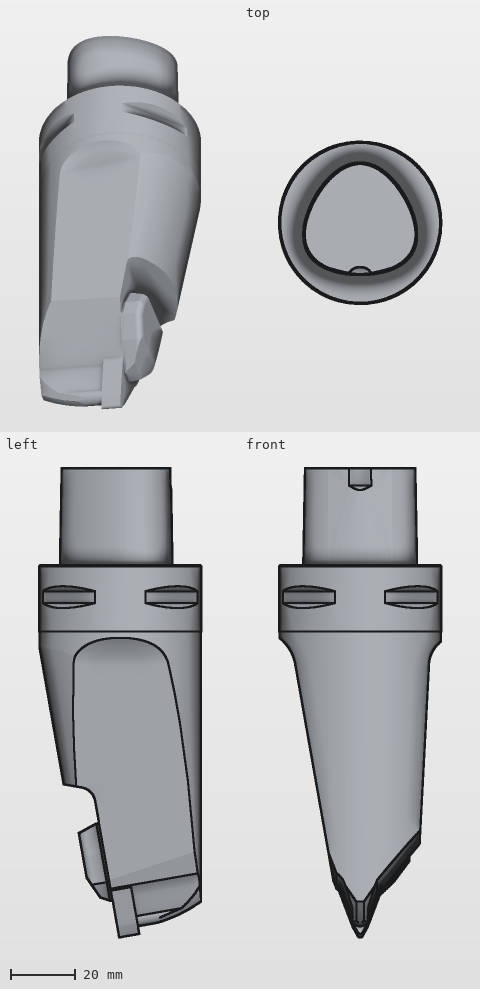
import cadquery as cq
import math

TOOL_LENGTH = 115.0
HEAD_TILT = 10.0

SHANK_LENGTH = 30.0
SHANK_RADIUS = 17.45
LOBE_HEIGHT = 1.25
SHANK_TAPER = 0.55
LOBE_HALF_ANGLE = math.radians(29)
POINTS_PER_SEGMENT = 9

NOTCH_RADIUS = 4.0
NOTCH_AXIS_Y = -17.6
NOTCH_DEPTH = 5.4
NOTCH_CONE_DEPTH = 2.5

FLANGE_DIAMETER = 50.2
FLANGE_HEIGHT = 20.5
FLANGE_CHAMFER = 0.4
GROOVE_Z = -9.85
GROOVE_DEPTH = 2.75
GROOVE_FLOOR_WIDTH = 3.6
GROOVE_FLANK_ANGLE = math.radians(30)

NECK_DIAMETER = 50.0
TAPER_RADIUS = 26.0
TAPER_START_Z = -25.2
FLAT_TOP_Z = -30.5
LEFT_FLAT_X = -20.1
LEFT_FLAT_ANGLE = 10.0
LEFT_RUNOUT_Z = -22.4
RIGHT_FLAT_X = 21.3
RIGHT_FLAT_ANGLE = 3.0
RIGHT_RUNOUT_Z = -23.5

TIP_Y = 0.35
INSERT_THICKNESS = 6.35
INSERT_HALF_ANGLE = math.radians(20.5)
INSERT_NOSE_RADIUS = 0.8
INSERT_TIP_HALF_ANGLE = math.radians(29)
INSERT_SHOULDER_X = 2.3
INSERT_MIDDLE_Z = 15.2

BLADE_BOTTOM_Z = 2.4
BLADE_ROUND_Z = 5.6
BLADE_CLEARANCE = 0.75
BLADE_FLANK_TOP_Z = 12.2
LEFT_SHOULDER = (-7.3, 15.3)
LEFT_SHOULDER_ANGLE = math.radians(21)
RIGHT_SHOULDER_START_Z = 13.2
RIGHT_SHOULDER_ANGLE = math.radians(39)

KEEL_RADIUS = 43.0
KEEL_LOW_Y = -8.0
KEEL_LOW_Z = 2.2
KEEL_HALF_WIDTH = 1.2
KEEL_BEVEL_SLOPE = 1.2
KEEL_CLEAR_Z = 35.0

CHIP_CORNER_Z = 46.4
CHIP_STEP_ANGLE = math.radians(20)
CHIP_CORNER_RADIUS = 5.0

CLAMP_HEIGHT = 6.7
CLAMP_NOSE_Z = 11.2
CLAMP_TOP_Z = 36.2
CLAMP_LEFT_X = -5.0
CLAMP_LEFT_BEND_Z = 26.5
CLAMP_LEFT_CORNER = (-4.3, 17.5)
CLAMP_NOSE_LEFT_X = -1.0
CLAMP_NOSE_RIGHT_X = 3.2
CLAMP_RIGHT_CORNER = (10.5, 18.5)
CLAMP_RIGHT_X = 15.3
CLAMP_RIGHT_LOW_Z = 25.0
CLAMP_RIGHT_HIGH_Z = 30.0
CLAMP_TOP_RIGHT_X = 13.0
CLAMP_NOSE_STEP = (3.6, 13.2)
CLAMP_PAD_LOW_Z = 20.0
CLAMP_PAD_HIGH_Z = 33.9
CLAMP_FOOT_HEIGHT = 0.8
CLAMP_FOOT_INSET = 0.3
CLAMP_EDGE_RADIUS = 2.0

REACH = 60.0


def place_head(shape):
    """Move a shape from the head frame to its place on the tool."""
    tilted = shape.rotate((0, 0, 0), (1, 0, 0), -HEAD_TILT)
    return tilted.translate((0, TIP_Y, -TOOL_LENGTH))


def along_y(profile):
    """Extrude an XZ profile both ways along Y."""
    return profile.extrude(2 * REACH, both=True)



def lobed_point(angle, radius, z):
    return cq.Vector(
        -radius * math.sin(angle) + LOBE_HEIGHT * math.sin(2 * angle),
        radius * math.cos(angle) + LOBE_HEIGHT * math.cos(2 * angle),
        z,
    )


def lobed_tangent(angle, radius):
    return cq.Vector(
        -radius * math.cos(angle) + 2 * LOBE_HEIGHT * math.cos(2 * angle),
        -radius * math.sin(angle) - 2 * LOBE_HEIGHT * math.sin(2 * angle),
        0,
    )


def lobed_segment(start, end, radius, z):
    step = (end - start) / (POINTS_PER_SEGMENT - 1)
    points = [lobed_point(start + i * step, radius, z) for i in range(POINTS_PER_SEGMENT)]
    tangents = [lobed_tangent(start, radius), lobed_tangent(end, radius)]
    return cq.Edge.makeSpline(points, tangents=tangents)


def lobed_wire(radius, z):
    """Closed three-lobed outline, split where each lobe meets a flank."""
    edges = []
    pitch = math.radians(120)
    for lobe in range(3):
        lobe_start = lobe * pitch - LOBE_HALF_ANGLE
        lobe_end = lobe * pitch + LOBE_HALF_ANGLE
        edges.append(lobed_segment(lobe_start, lobe_end, radius, z))
        edges.append(lobed_segment(lobe_end, lobe_start + pitch, radius, z))
    return cq.Wire.assembleEdges(edges)


def make_shank():
    base = lobed_wire(SHANK_RADIUS, 0)
    top = lobed_wire(SHANK_RADIUS - SHANK_TAPER, SHANK_LENGTH)
    shank = cq.Workplane(obj=cq.Solid.makeLoft([base, top], True))
    floor_z = SHANK_LENGTH - NOTCH_DEPTH
    notch = (
        cq.Workplane("XZ")
        .moveTo(0, floor_z - NOTCH_CONE_DEPTH)
        .lineTo(NOTCH_RADIUS, floor_z)
        .lineTo(NOTCH_RADIUS, SHANK_LENGTH + 1)
        .lineTo(0, SHANK_LENGTH + 1)
        .close()
        .revolve(360, (0, 0, 0), (0, 1, 0))
        .translate((0, NOTCH_AXIS_Y, 0))
    )
    return shank.cut(notch)



def make_groove():
    floor_x = FLANGE_DIAMETER / 2 - GROOVE_DEPTH
    flank_run = 2 * GROOVE_DEPTH
    half_floor = GROOVE_FLOOR_WIDTH / 2
    half_mouth = half_floor + flank_run * math.tan(GROOVE_FLANK_ANGLE)
    profile = cq.Workplane("XZ").polyline([
        (floor_x, GROOVE_Z - half_floor),
        (floor_x + flank_run, GROOVE_Z - half_mouth),
        (floor_x + flank_run, GROOVE_Z + half_mouth),
        (floor_x, GROOVE_Z + half_floor),
    ]).close()
    return along_y(profile)


def make_flange():
    flange = (
        cq.Workplane("XY")
        .circle(FLANGE_DIAMETER / 2)
        .extrude(-FLANGE_HEIGHT)
        .faces(">Z").edges().chamfer(FLANGE_CHAMFER)
        .faces("<Z").edges().chamfer((FLANGE_DIAMETER - NECK_DIAMETER) / 2)
    )
    groove = make_groove()
    for quarter in range(4):
        flange = flange.cut(groove.rotate((0, 0, 0), (0, 0, 1), 45 + 90 * quarter))
    return flange



def make_side_cutter(side, flat_x, flat_angle, runout_z):
    """Material outside one slanted side flat and its concave run-out."""
    depth = TOOL_LENGTH + REACH + FLAT_TOP_Z
    foot_x = flat_x - side * depth * math.tan(math.radians(flat_angle))
    profile = (
        cq.Workplane("XZ")
        .moveTo(foot_x, FLAT_TOP_Z - depth)
        .lineTo(flat_x, FLAT_TOP_Z)
        .tangentArcPoint((side * NECK_DIAMETER / 2, runout_z), relative=False)
        .lineTo(side * REACH, runout_z)
        .lineTo(side * REACH, FLAT_TOP_Z - depth)
        .close()
    )
    return along_y(profile)


def tip_apex_z():
    """Height of the insert's sharp corner before the nose is rounded."""
    return INSERT_NOSE_RADIUS * (1 - 1 / math.sin(INSERT_TIP_HALF_ANGLE))


def shoulder_z():
    """Height where the blunter tip meets the straight flanks."""
    return tip_apex_z() + INSERT_SHOULDER_X / math.tan(INSERT_TIP_HALF_ANGLE)


def flank_x(z):
    """Half width of the insert at a height on its straight flank."""
    return INSERT_SHOULDER_X + (z - shoulder_z()) * math.tan(INSERT_HALF_ANGLE)


def blade_x(z):
    return flank_x(z) - BLADE_CLEARANCE


def make_blade_envelope():
    """Section of the blade, run along the head's Y axis."""
    top_z = TOOL_LENGTH + REACH
    left_start_x, left_start_z = LEFT_SHOULDER
    left_end_z = left_start_z + (REACH + left_start_x) / math.tan(LEFT_SHOULDER_ANGLE)
    right_start_x = blade_x(RIGHT_SHOULDER_START_Z)
    right_end_z = RIGHT_SHOULDER_START_Z + (REACH - right_start_x) / math.tan(RIGHT_SHOULDER_ANGLE)
    profile = (
        cq.Workplane("XZ")
        .moveTo(blade_x(BLADE_ROUND_Z), BLADE_ROUND_Z)
        .threePointArc((0, BLADE_BOTTOM_Z), (-blade_x(BLADE_ROUND_Z), BLADE_ROUND_Z))
        .lineTo(-blade_x(BLADE_FLANK_TOP_Z), BLADE_FLANK_TOP_Z)
        .tangentArcPoint(LEFT_SHOULDER, relative=False)
        .lineTo(-REACH, left_end_z)
        .lineTo(-REACH, top_z)
        .lineTo(REACH, top_z)
        .lineTo(REACH, right_end_z)
        .lineTo(right_start_x, RIGHT_SHOULDER_START_Z)
        .close()
    )
    return place_head(along_y(profile))


def make_keel_envelope():
    """Bevelled wheel, turned about an axis along X, that shapes the underside of the blade."""
    hub_z = KEEL_LOW_Z + KEEL_RADIUS
    hub_half_width = KEEL_HALF_WIDTH + KEEL_RADIUS / KEEL_BEVEL_SLOPE
    wheel = (
        cq.Workplane("XZ", origin=(0, KEEL_LOW_Y, 0))
        .polyline([
            (-hub_half_width, hub_z),
            (-KEEL_HALF_WIDTH, KEEL_LOW_Z),
            (KEEL_HALF_WIDTH, KEEL_LOW_Z),
            (hub_half_width, hub_z),
        ])
        .close()
        .revolve(360, (0, hub_z, 0), (1, hub_z, 0))
    )
    above = (
        cq.Workplane("XY", origin=(0, 0, KEEL_CLEAR_Z))
        .rect(2 * REACH, 2 * REACH)
        .extrude(TOOL_LENGTH)
    )
    return place_head(wheel.union(above))


def make_chip_space():
    """Open space in front of the rake face, with a rounded inner corner."""
    step_end_z = CHIP_CORNER_Z + REACH * math.tan(CHIP_STEP_ANGLE)
    space = (
        cq.Workplane("YZ")
        .polyline([(0, -REACH), (0, CHIP_CORNER_Z), (REACH, step_end_z), (REACH, -REACH)])
        .close()
        .extrude(REACH, both=True)
        .edges(cq.selectors.NearestToPointSelector((0, 0, CHIP_CORNER_Z)))
        .fillet(CHIP_CORNER_RADIUS)
    )
    return place_head(space)


def make_neck():
    neck = (
        cq.Workplane("XY", origin=(0, 0, -FLANGE_HEIGHT))
        .circle(NECK_DIAMETER / 2)
        .extrude(-(TOOL_LENGTH - FLANGE_HEIGHT))
    )
    taper_axis_y = NECK_DIAMETER / 2 - TAPER_RADIUS / math.cos(math.radians(HEAD_TILT))
    taper = (
        cq.Workplane("XY")
        .circle(TAPER_RADIUS)
        .extrude(2 * TOOL_LENGTH, both=True)
        .rotate((0, 0, 0), (1, 0, 0), -HEAD_TILT)
        .translate((0, taper_axis_y, TAPER_START_Z))
    )
    neck = neck.intersect(taper)
    neck = neck.cut(make_side_cutter(-1, LEFT_FLAT_X, LEFT_FLAT_ANGLE, LEFT_RUNOUT_Z))
    neck = neck.cut(make_side_cutter(1, RIGHT_FLAT_X, RIGHT_FLAT_ANGLE, RIGHT_RUNOUT_Z))
    neck = neck.intersect(make_blade_envelope())
    neck = neck.intersect(make_keel_envelope())
    return neck.cut(make_chip_space())



def clamp_outline(base_y):
    """Plan outline of the clamp at a height above the rake face."""
    return cq.Workplane("XZ", origin=(0, base_y, 0)).polyline([
        (CLAMP_LEFT_X, CLAMP_TOP_Z),
        (CLAMP_LEFT_X, CLAMP_LEFT_BEND_Z),
        CLAMP_LEFT_CORNER,
        (CLAMP_NOSE_LEFT_X, CLAMP_NOSE_Z),
        (CLAMP_NOSE_RIGHT_X, CLAMP_NOSE_Z),
        CLAMP_RIGHT_CORNER,
        (CLAMP_RIGHT_X, CLAMP_RIGHT_LOW_Z),
        (CLAMP_RIGHT_X, CLAMP_RIGHT_HIGH_Z),
        (CLAMP_TOP_RIGHT_X, CLAMP_TOP_Z),
    ]).close()


def make_clamp():
    """Clamp pad on a slightly smaller foot, trimmed by its side profile."""
    foot = clamp_outline(0).offset2D(-CLAMP_FOOT_INSET).extrude(-CLAMP_FOOT_HEIGHT)
    pad = (
        clamp_outline(CLAMP_FOOT_HEIGHT)
        .extrude(CLAMP_FOOT_HEIGHT - CLAMP_HEIGHT)
        .faces(">Y").edges().fillet(CLAMP_EDGE_RADIUS)
    )
    side = (
        cq.Workplane("YZ")
        .polyline([
            (0, CLAMP_NOSE_Z),
            CLAMP_NOSE_STEP,
            (CLAMP_HEIGHT, CLAMP_PAD_LOW_Z),
            (CLAMP_HEIGHT, CLAMP_PAD_HIGH_Z),
            (0, CLAMP_TOP_Z),
        ])
        .close()
        .extrude(REACH, both=True)
    )
    return place_head(pad.union(foot).intersect(side))



def make_insert():
    """Double-ended insert, tip down, with its top face on the rake face."""
    half_width = flank_x(INSERT_MIDDLE_Z)
    rear_shoulder_z = 2 * INSERT_MIDDLE_Z - shoulder_z()
    insert = (
        cq.Workplane("XZ")
        .polyline([
            (0, tip_apex_z()),
            (INSERT_SHOULDER_X, shoulder_z()),
            (half_width, INSERT_MIDDLE_Z),
            (INSERT_SHOULDER_X, rear_shoulder_z),
            (0, 2 * INSERT_MIDDLE_Z - tip_apex_z()),
            (-INSERT_SHOULDER_X, rear_shoulder_z),
            (-half_width, INSERT_MIDDLE_Z),
            (-INSERT_SHOULDER_X, shoulder_z()),
        ])
        .close()
        .extrude(INSERT_THICKNESS)
        .edges("|Y and (<Z or >Z)")
        .fillet(INSERT_NOSE_RADIUS)
    )
    return place_head(insert)


insert = make_insert()
holder = make_shank().union(make_flange()).union(make_neck()).union(make_clamp()).cut(insert)

result = cq.Compound.makeCompound([*holder.solids().vals(), insert.val()])